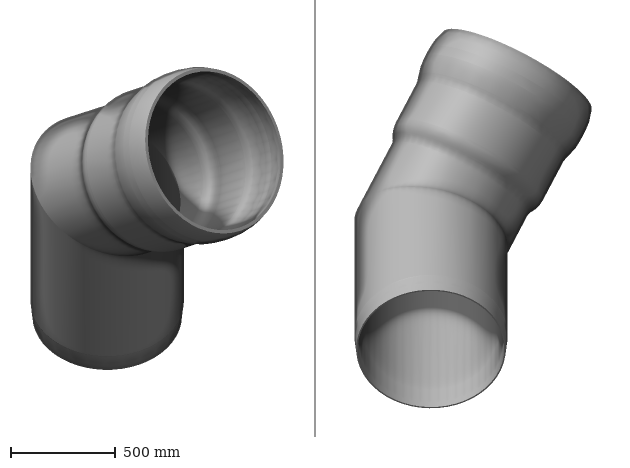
import cadquery as cq
import math


bend_angle = 45.0
wall = 16.0
pipe_radius = 730.0 / 2
bend_height = 900.0

tip_height = 100.0
tip_radius = 356.0
tip_step_height = 4.0
tip_step_depth = 0.9
tip_top_radius = pipe_radius - tip_step_depth

socket_radius = 792.0 / 2
bulge_radius = 842.0 / 2
rim_radius = 802.0 / 2

socket_length = 898.0
rim_curve_length = 105.0
bulge_length = 49.0
bulge_curve_length = 90.0
bulge_foot_length = 44.0
socket_straight_length = 207.0
shoulder_curve_length = 64.0
shoulder_foot_length = 44.0

bulge_top = socket_length - rim_curve_length
bulge_bottom = bulge_top - bulge_length
bulge_inflection = bulge_bottom - bulge_curve_length
socket_top = bulge_inflection - bulge_foot_length
socket_bottom = socket_top - socket_straight_length
shoulder_inflection = socket_bottom - shoulder_curve_length
shoulder_foot = shoulder_inflection - shoulder_foot_length

miter_slope = math.tan(math.radians(bend_angle / 2))
miter_rise = pipe_radius * miter_slope
miter_margin = 90.0
cutter_size = 3635.0


def inflection_point(start_radius, start_station, middle_station, end_radius, end_station, inset):
    """Point where two tangent arcs meet, moved inward along the wall normal by inset.

    Both arcs end parallel to the pipe axis, so the slope at their meeting point
    is twice the slope of the straight line between their outer ends.
    """
    rise = end_radius - start_radius
    length = end_station - start_station
    share = (middle_station - start_station) / length
    slope_angle = 2 * math.atan(rise / length)
    radius = start_radius + share * rise - inset * math.cos(slope_angle)
    station = middle_station + inset * math.sin(slope_angle)
    return (radius, station)


def socket_solid(inset):
    """Solid of revolution following the socket's outside, reduced by inset."""
    shoulder_point = inflection_point(
        pipe_radius, shoulder_foot, shoulder_inflection, socket_radius, socket_bottom, inset)
    bulge_side_point = inflection_point(
        socket_radius, socket_top, bulge_inflection, bulge_radius, bulge_bottom, inset)
    start = -miter_rise - miter_margin
    return (
        cq.Workplane("XZ")
        .moveTo(0, start)
        .lineTo(pipe_radius - inset, start)
        .lineTo(pipe_radius - inset, shoulder_foot)
        .tangentArcPoint(shoulder_point, relative=False)
        .tangentArcPoint((socket_radius - inset, socket_bottom), relative=False)
        .lineTo(socket_radius - inset, socket_top)
        .tangentArcPoint(bulge_side_point, relative=False)
        .tangentArcPoint((bulge_radius - inset, bulge_bottom), relative=False)
        .lineTo(bulge_radius - inset, bulge_top)
        .tangentArcPoint((rim_radius - inset, socket_length), relative=False)
        .lineTo(0, socket_length)
        .close()
        .revolve(360, (0, 0, 0), (0, 1, 0))
    )


def above_miter():
    """Large block whose underside is the miter plane."""
    return (
        cq.Workplane("XY")
        .box(cutter_size, cutter_size, cutter_size, centered=(True, True, False))
        .rotate((0, 0, 0), (0, 1, 0), bend_angle / 2)
        .translate((0, 0, bend_height))
    )


def make_spigot_pipe():
    """Straight pipe with a slightly tapered tip, cut off at the miter plane."""
    blank_height = bend_height + miter_rise + miter_margin
    bore_radius = pipe_radius - wall
    blank = (
        cq.Workplane("XZ")
        .moveTo(bore_radius, 0)
        .lineTo(tip_radius, 0)
        .lineTo(tip_top_radius, tip_height)
        .lineTo(pipe_radius, tip_height + tip_step_height)
        .lineTo(pipe_radius, blank_height)
        .lineTo(bore_radius, blank_height)
        .close()
        .revolve(360, (0, 0, 0), (0, 1, 0))
    )
    return blank.cut(above_miter())


def make_socket_pipe():
    """Tilted pipe with a stepped socket and a bulge that leaves a groove inside."""
    blank = (
        socket_solid(0)
        .cut(socket_solid(wall))
        .rotate((0, 0, 0), (0, 1, 0), bend_angle)
        .translate((0, 0, bend_height))
    )
    return blank.intersect(above_miter())


spigot_pipe = make_spigot_pipe()
socket_pipe = make_socket_pipe()

result = cq.Compound.makeCompound([spigot_pipe.val(), socket_pipe.val()])